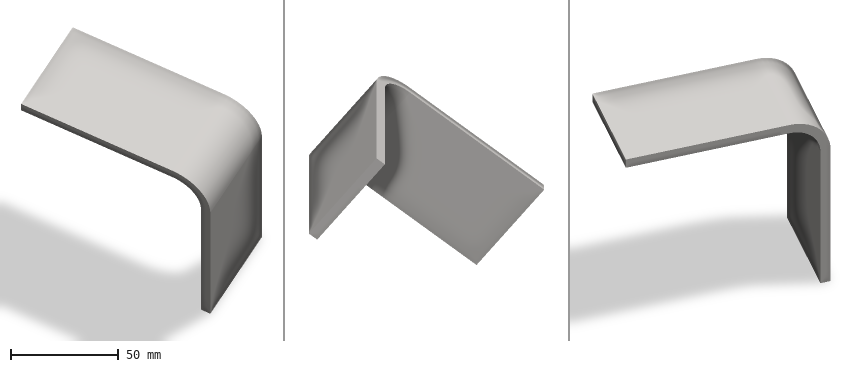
import cadquery as cq

leg_length = 100.0
width = 50.0
thickness = 5.0
outer_radius = 20.0
inner_radius = outer_radius - thickness


def square_angle():
    """L-shaped bar with its outer corner at +X, +Z, centred on Y = 0."""
    inner_face = leg_length - thickness
    return (
        cq.Workplane("XZ")
        .moveTo(0, leg_length)
        .lineTo(leg_length, leg_length)
        .lineTo(leg_length, 0)
        .lineTo(inner_face, 0)
        .lineTo(inner_face, inner_face)
        .lineTo(0, inner_face)
        .close()
        .extrude(width / 2, both=True)
    )


def round_bend(angle):
    """Round the outer and inner corners about one common bend axis."""
    outer_corner = angle.faces(">X").edges(">Z")
    rounded = outer_corner.fillet(outer_radius)
    inner_corner = cq.selectors.NearestToPointSelector(
        (leg_length - thickness, 0, leg_length - thickness)
    )
    return rounded.edges("|Y").edges(inner_corner).fillet(inner_radius)


result = round_bend(square_angle())